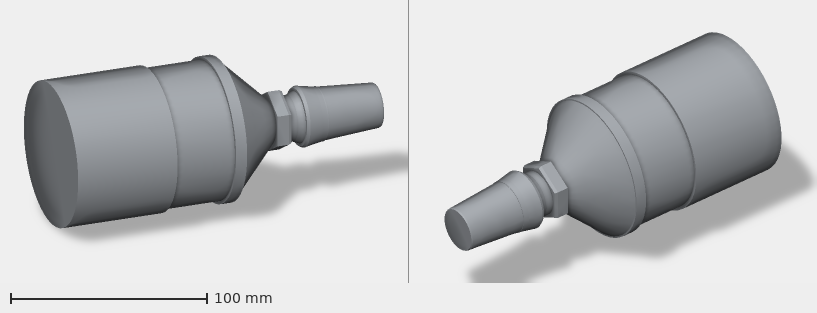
import cadquery as cq

total_length = 177.6
base_length = 54.3
flange_start = 86.3
flange_end = 92.4
nut_start = 118.3
nut_height = 7.8
neck_end = 130.4
collar_start = 134.0
collar_widest = 135.7
collar_shoulder = 143.1
sleeve_start = 146.3
tip_edge = 0.7
sleeve_lip = 0.5

base_diameter = 76.2
cone_diameter = 74.5
body_diameter = 72.8
neck_diameter = 24.2
flare_diameter = 27.0
collar_lower_diameter = 30.2
collar_diameter = 32.0
shoulder_diameter = 29.1
sleeve_diameter = 27.9
lip_diameter = 28.5
tip_diameter = 23.5
tip_edge_inset = 0.4

nut_across_flats = 28.5
nut_chamfer_height = 1.6
nut_chamfer_inset = 0.7


def turned_body():
    """Revolve the half profile (radius, axial position) about the Y axis."""
    base_radius = base_diameter / 2
    body_radius = body_diameter / 2
    neck_radius = neck_diameter / 2
    profile = [
        (0, 0),
        (base_radius, 0),
        (base_radius, base_length),
        (body_radius, base_length),
        (body_radius, flange_start),
        (base_radius, flange_start),
        (base_radius, flange_end),
        (cone_diameter / 2, flange_end),
        (neck_radius, nut_start),
        (neck_radius, neck_end),
        (flare_diameter / 2, collar_start),
        (collar_lower_diameter / 2, collar_start),
        (collar_diameter / 2, collar_widest),
        (shoulder_diameter / 2, collar_shoulder),
        (lip_diameter / 2, sleeve_start - sleeve_lip),
        (lip_diameter / 2, sleeve_start),
        (sleeve_diameter / 2, sleeve_start),
        (tip_diameter / 2, total_length - tip_edge),
        (tip_diameter / 2 - tip_edge_inset, total_length),
        (0, total_length),
    ]
    return cq.Workplane("XY").polyline(profile).close().revolve(360, (0, 0, 0), (0, 1, 0))


def hex_nut():
    """Hexagon with flats facing X, its edges beveled on the hose side."""
    nut = (
        cq.Workplane("XZ", origin=(0, nut_start, 0))
        .polygon(6, nut_across_flats, circumscribed=True)
        .extrude(-nut_height)
    )
    return nut.faces(">Y").chamfer(nut_chamfer_height, nut_chamfer_inset)


result = turned_body().union(hex_nut())